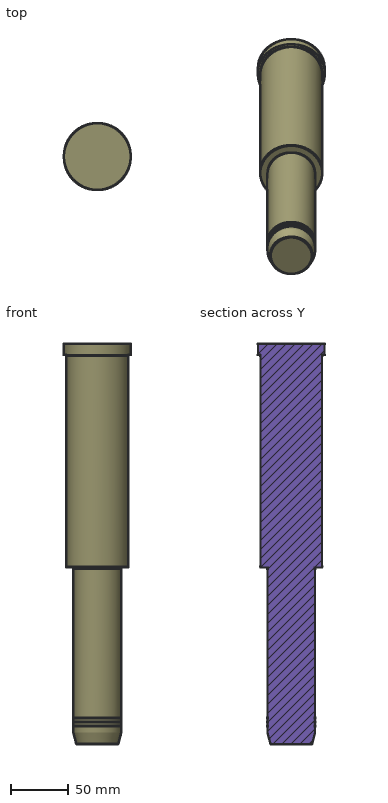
import cadquery as cq

total_length = 351.0
head_height = 10.0
body_end = 154.8
tip_height = 10.2
head_bottom = total_length - head_height

head_radius = 29.5
body_radius = 27.5
pin_radius = 21.0
tip_radius = 18.5

body_chamfer_height = 1.0
body_chamfer_depth = 0.5
tip_chamfer = 0.7
head_chamfer = 0.5

groove_width = 1.0
groove_depth = 0.5
groove_count = 3
groove_pitch = 3.5
lowest_groove = 15.5


def revolve_profile(points):
    """Turn (radius, height) points into a solid about the Z axis."""
    outline = [(-radius, height) for radius, height in points]
    return cq.Workplane("XZ").polyline(outline).close().revolve(360, (0, 0), (0, 1))


def ring_groove(surface_radius, bottom):
    inner = surface_radius - groove_depth
    outer = surface_radius + groove_depth
    top = bottom + groove_width
    return revolve_profile([(inner, bottom), (outer, bottom), (outer, top), (inner, top)])


result = revolve_profile([
    (0, 0),
    (tip_radius - tip_chamfer, 0),
    (tip_radius, tip_chamfer),
    (pin_radius, tip_height),
    (pin_radius, body_end),
    (body_radius - body_chamfer_depth, body_end),
    (body_radius, body_end + body_chamfer_height),
    (body_radius, head_bottom),
    (head_radius, head_bottom),
    (head_radius, total_length - head_chamfer),
    (head_radius - head_chamfer, total_length),
    (0, total_length),
])

result = result.cut(ring_groove(body_radius, head_bottom - groove_width))
result = result.cut(ring_groove(pin_radius, body_end - groove_width))

for index in range(groove_count):
    result = result.cut(ring_groove(pin_radius, lowest_groove + index * groove_pitch))